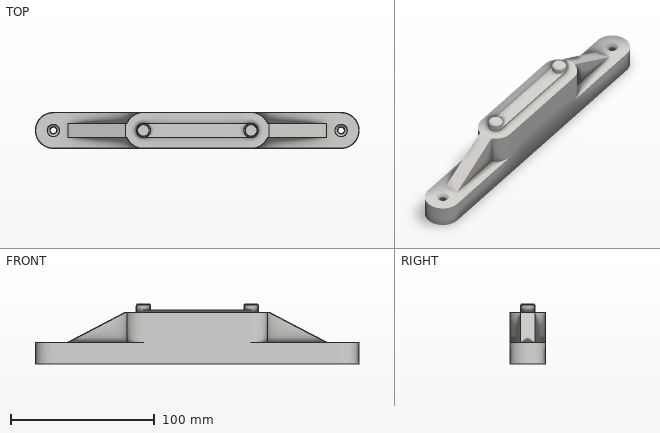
import cadquery as cq

length = 225.0
width = 25.0
base_height = 15.0
end_radius = width / 2

body_top = 36.0
pin_spacing = 75.0
body_length = pin_spacing + width

rail_width = 10.0
rail_height = 1.5
pin_diameter = 10.0
pin_top = 41.8
pin_chamfer = 1.0

rib_width = rail_width
rib_foot = 90.0

hole_diameter = 4.5
sink_diameter = 8.5
sink_angle = 90
hole_spacing = length - 2 * end_radius


def rounded_bar(bar_length, height):
    """Round-ended bar standing on the bottom plane."""
    return cq.Workplane("XY").slot2D(bar_length, width).extrude(height)


def ribs():
    """Trapezoidal web whose two ends slope down from the body to the base."""
    outline = [
        (-rib_foot, base_height),
        (-body_length / 2, body_top),
        (body_length / 2, body_top),
        (rib_foot, base_height),
    ]
    return cq.Workplane("XZ").polyline(outline).close().extrude(rib_width / 2, both=True)


def rail():
    """Low straight strip running from pin to pin."""
    return (
        cq.Workplane("XY", origin=(0, 0, body_top))
        .rect(pin_spacing, rail_width)
        .extrude(rail_height)
    )


def pins():
    """Two pins with chamfered tops."""
    return (
        cq.Workplane("XY", origin=(0, 0, body_top))
        .rarray(pin_spacing, 2.2, 2, 1)
        .circle(pin_diameter / 2)
        .extrude(pin_top - body_top)
        .faces(">Z")
        .chamfer(pin_chamfer)
    )


base = (
    rounded_bar(length, base_height)
    .faces(">Z")
    .workplane()
    .rarray(hole_spacing, 2.2, 2, 1)
    .cskHole(hole_diameter, sink_diameter, sink_angle)
)
body = rounded_bar(body_length, body_top)

result = base.union(body).union(ribs()).union(rail()).union(pins())